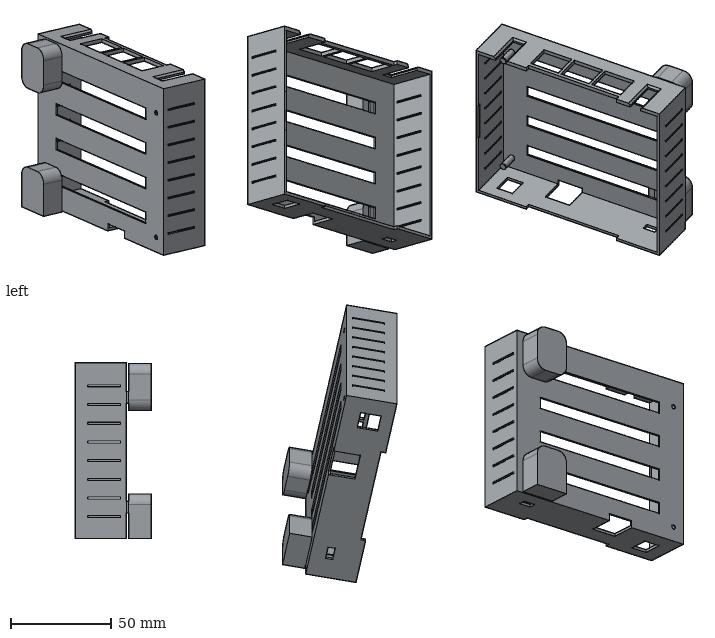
import cadquery as cq

case_length = 105.8
case_depth = 25.6
case_height = 87.6
wall = 1.5
front_plate = 1.0
top_wall = 2.0

vent_left = 15.1
vent_right = 90.7
vent_height = 6.0
vent_pitch = 18.25
vent_count = 4
lowest_vent_z = 15.6

slit_front = 3.0
slit_back = 19.2
slit_height = 0.8
slit_pitch = 9.3
slit_count = 8
lowest_slit_z = 10.9

window_spans = [(24.9, 41.6), (43.1, 59.3), (60.9, 76.8)]
window_front = 8.0
window_back = 21.2
rear_recess_depth = 2.4

open_slot_centers = [13.85, 91.55]
open_slot_width = 6.0
open_slot_front = window_front
open_slot_chamfer = 1.0

left_opening = (10.9, 17.5, 8.0, 11.6)
right_opening = (88.4, 97.3, 8.9, 19.3)

catch_depth = 0.3
catch_width = 1.6
catch_height = 20.0

notch_left = 58.9
notch_width = 14.0
notch_depth = 13.5
notch_height = 3.8

post_x = 99.5
post_heights = [7.75, 73.25]
post_diameter = 3.25
post_end = 9.8
post_hole_diameter = 2.2
post_floor = 1.0

foot_center_x = 12.45
foot_width = 18.6
foot_height = 23.5
foot_depth = 11.4
foot_radius = 5.3
upper_foot_top = 87.2
lower_foot_top = 22.2
spacer_width = 11.0
spacer_height = vent_height
spacer_depth = 1.0
highest_vent_z = lowest_vent_z + (vent_count - 1) * vent_pitch


def box(x_range, y_range, z_range):
    """A block between the given limits along each axis."""
    (x0, x1), (y0, y1), (z0, z1) = x_range, y_range, z_range
    return cq.Workplane("XY").box(x1 - x0, y1 - y0, z1 - z0, centered=False).translate((x0, y0, z0))


def make_shell():
    """The front plate and the four walls around it."""
    outside = box((0, case_length), (0, case_depth), (0, case_height))
    inside = box((wall, case_length - wall), (front_plate, case_depth), (wall, case_height - top_wall))
    return outside.cut(inside)


def rod(diameter, z, y_start, y_end):
    """A round rod along Y on the axis of a screw post."""
    plane = cq.Workplane("XZ", origin=(post_x, y_start, z))
    return plane.circle(diameter / 2).extrude(y_start - y_end)


def cut_vents(case):
    for index in range(vent_count):
        z = lowest_vent_z + index * vent_pitch
        z_range = (z - vent_height / 2, z + vent_height / 2)
        case = case.cut(box((vent_left, vent_right), (0, front_plate), z_range))
    return case


def cut_slits(case):
    for index in range(slit_count):
        z = lowest_slit_z + index * slit_pitch
        z_range = (z - slit_height / 2, z + slit_height / 2)
        case = case.cut(box((0, case_length), (slit_front, slit_back), z_range))
    return case


def cut_windows(case):
    z_range = (case_height - top_wall, case_height)
    for span in window_spans:
        case = case.cut(box(span, (window_front, window_back), z_range))
    recess_span = (window_spans[0][0], window_spans[-1][1])
    return case.cut(box(recess_span, (case_depth - rear_recess_depth, case_depth), (0, case_height)))


def open_slot(center):
    """A slot that is open at the back, with its upper rim chamfered on three sides."""
    left = center - open_slot_width / 2
    right = center + open_slot_width / 2
    beyond = case_depth + open_slot_chamfer
    slot = box((left, right), (open_slot_front, beyond), (case_height - top_wall, case_height))
    rim_length = beyond + open_slot_chamfer - open_slot_front
    rim = (
        cq.Workplane("XY", origin=(center, open_slot_front + rim_length / 2, case_height))
        .rect(open_slot_width + 2 * open_slot_chamfer, rim_length + 2 * open_slot_chamfer)
        .workplane(offset=-open_slot_chamfer)
        .rect(open_slot_width, rim_length)
        .loft(ruled=True)
    )
    return slot.union(rim)


def cut_bottom(case):
    for x0, x1, y0, y1 in (left_opening, right_opening):
        case = case.cut(box((x0, x1), (y0, y1), (0, wall)))
    notch_span = (notch_left, notch_left + notch_width)
    case = case.cut(box(notch_span, (0, notch_depth), (0, wall)))
    return case.cut(box(notch_span, (0, front_plate), (0, notch_height)))


def cut_catch(case):
    inner_face = case_length - wall
    middle = case_height / 2
    z_range = (middle - catch_height / 2, middle + catch_height / 2)
    x_range = (inner_face, inner_face + catch_depth)
    return case.cut(box(x_range, (case_depth - catch_width, case_depth), z_range))


def make_case():
    case = cut_windows(cut_slits(cut_vents(make_shell())))
    for center in open_slot_centers:
        case = case.cut(open_slot(center))
    case = cut_catch(cut_bottom(case))
    for z in post_heights:
        case = case.union(rod(post_diameter, z, front_plate, post_end))
        case = case.cut(rod(post_hole_diameter, z, 0, post_end - post_floor))
    return case


def make_spacer(z):
    x_range = (foot_center_x - spacer_width / 2, foot_center_x + spacer_width / 2)
    return box(x_range, (-spacer_depth, 0), (z - spacer_height / 2, z + spacer_height / 2))


def make_foot(bottom, top, rounded_edges):
    """A block standing in front of the case, with the chosen edges along Y rounded."""
    x_range = (foot_center_x - foot_width / 2, foot_center_x + foot_width / 2)
    block = box(x_range, (-spacer_depth - foot_depth, -spacer_depth), (bottom, top))
    return block.edges(rounded_edges).fillet(foot_radius)


case = make_case()
spacers = [make_spacer(z) for z in (lowest_vent_z, highest_vent_z)]
upper_foot = make_foot(upper_foot_top - foot_height, upper_foot_top, "|Y")
lower_foot = make_foot(0, lower_foot_top, "|Y and >Z")

result = cq.Compound.makeCompound([body.val() for body in [case, *spacers, upper_foot, lower_foot]])